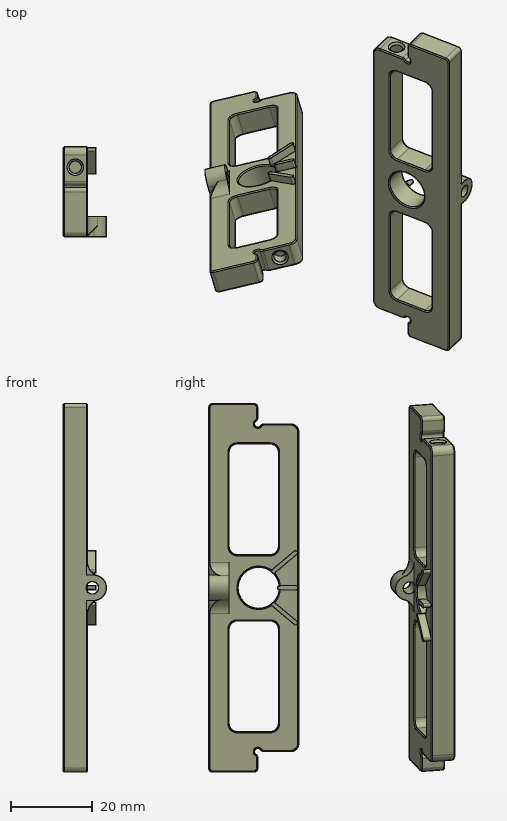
import cadquery as cq
import math

thickness = 6.0
width = 22.0
height = 90.0
rim_chamfer = 0.3

shoulder_z = 40.0
step_y = 1.0
shoulder_radius = 2.0
end_radius = 1.0
relief_radius = 0.8
relief_edge_radius = 1.0

window_width = 12.0
window_height = 27.0
window_z = 21.6
window_radius = 2.0
bore_radius = 5.0
bore_y = 1.2

shoulder_hole_radius = 1.5
shoulder_hole_y = 6.0
shoulder_hole_depth = 3.5
shoulder_hole_chamfer = 0.5

lug_reach = 4.6
lug_radius = 3.1
lug_length = 5.0
lug_fillet = 3.4
pin_x = 7.15
pin_radius = 1.5

mark_width = 1.0
mark_height = 2.0
mark_angle = 40.0
mark_inner = 5.8
middle_mark_outer = 10.8
angled_mark_outer = 13.8

half_width = width / 2
half_height = height / 2
lug_x = thickness + lug_reach - lug_radius


def make_plate():
    """Plate with narrowed ends, relieved inner corners, openings and chamfered rims."""
    plate = cq.Workplane("YZ").rect(width, height).extrude(thickness)
    notch_width = half_width - step_y
    notch_height = half_height - shoulder_z
    for side in (1, -1):
        notch = (
            cq.Workplane("YZ")
            .center(step_y + notch_width / 2, side * (shoulder_z + notch_height / 2))
            .rect(notch_width, notch_height)
            .extrude(thickness)
        )
        plate = plate.cut(notch)

    plate = round_edges(plate, half_width, shoulder_z, shoulder_radius)
    plate = round_edges(plate, step_y, half_height, end_radius)
    plate = round_edges(plate, -half_width, half_height, end_radius)

    for side in (1, -1):
        relief = (
            cq.Workplane("YZ")
            .center(step_y, side * shoulder_z)
            .circle(relief_radius)
            .extrude(thickness)
        )
        window = (
            cq.Workplane("YZ")
            .center(0, side * window_z)
            .rect(window_width, window_height)
            .extrude(thickness)
            .edges("|X")
            .fillet(window_radius)
        )
        plate = plate.cut(relief).cut(window)

    plate = round_edges(plate, step_y + relief_radius, shoulder_z, relief_edge_radius)
    plate = round_edges(plate, step_y, shoulder_z + relief_radius, relief_edge_radius)

    bore = cq.Workplane("YZ").center(bore_y, 0).circle(bore_radius).extrude(thickness)
    return plate.cut(bore).faces("<X or >X").edges().chamfer(rim_chamfer)


def round_edges(plate, y, z, radius):
    """Round the pair of X-direction plate edges at (y, z) and (y, -z)."""
    reach = 0.1
    for side in (1, -1):
        corner = cq.selectors.BoxSelector(
            (-reach, y - reach, side * z - reach),
            (thickness + reach, y + reach, side * z + reach),
        )
        plate = plate.edges("|X").edges(corner).fillet(radius)
    return plate


def make_shoulder_hole():
    """Blind hole with a chamfered mouth, sunk down from the upper shoulder."""
    mouth_radius = shoulder_hole_radius + shoulder_hole_chamfer
    return (
        cq.Workplane("XZ", origin=(thickness / 2, shoulder_hole_y, shoulder_z))
        .lineTo(mouth_radius, 0)
        .lineTo(shoulder_hole_radius, -shoulder_hole_chamfer)
        .lineTo(shoulder_hole_radius, -shoulder_hole_depth)
        .lineTo(0, -shoulder_hole_depth)
        .close()
        .revolve(360, (0, 0), (0, 1))
    )


def make_lug():
    """Round-nosed lug with flat flanks."""
    root_x = thickness / 2
    return (
        cq.Workplane("XZ", origin=(0, -half_width, 0))
        .moveTo(root_x, -lug_radius)
        .lineTo(lug_x, -lug_radius)
        .threePointArc((lug_x + lug_radius, 0), (lug_x, lug_radius))
        .lineTo(root_x, lug_radius)
        .close()
        .extrude(-lug_length)
    )


def make_lug_webs():
    """Concave webs blending the lug nose into the plate, ending on the 45 degree rim plane."""
    axis_x = thickness + lug_fillet
    centre_gap = lug_radius + lug_fillet
    axis_z = math.sqrt(centre_gap**2 - (axis_x - lug_x) ** 2)
    touch_x = lug_x + (axis_x - lug_x) * lug_radius / centre_gap
    touch_z = axis_z * lug_radius / centre_gap
    root_x = thickness - rim_chamfer

    webs = (
        cq.Workplane("XZ", origin=(0, -half_width, 0))
        .moveTo(root_x, -axis_z)
        .lineTo(thickness, -axis_z)
        .radiusArc((touch_x, -touch_z), lug_fillet)
        .lineTo(touch_x, touch_z)
        .radiusArc((thickness, axis_z), lug_fillet)
        .lineTo(root_x, axis_z)
        .close()
        .extrude(-lug_length)
    )
    rim_trim = (
        cq.Workplane("XY", origin=(root_x, -half_width, 0))
        .polyline([(0, 0), (lug_length, lug_length), (0, lug_length)])
        .close()
        .extrude(half_height, both=True)
    )
    return webs.intersect(rim_trim)


def make_mark(angle, mark_outer):
    """Raised bar with round ends, radiating from the plate centre at the given angle."""
    mark_length = mark_outer - mark_inner
    return (
        cq.Workplane("YZ", origin=(thickness, 0, 0))
        .center((mark_inner + mark_outer) / 2, 0)
        .slot2D(mark_length, mark_width)
        .extrude(mark_height)
        .rotate((0, 0, 0), (1, 0, 0), angle)
    )


result = make_plate()

upper_hole = make_shoulder_hole()
result = result.cut(upper_hole).cut(upper_hole.mirror("XY"))

result = result.union(make_lug()).union(make_lug_webs())
pin_hole = (
    cq.Workplane("XZ", origin=(pin_x, -half_width, 0))
    .circle(pin_radius)
    .extrude(-lug_length)
)
result = result.cut(pin_hole)

result = result.union(make_mark(0, middle_mark_outer))
for side in (1, -1):
    result = result.union(make_mark(side * mark_angle, angled_mark_outer))